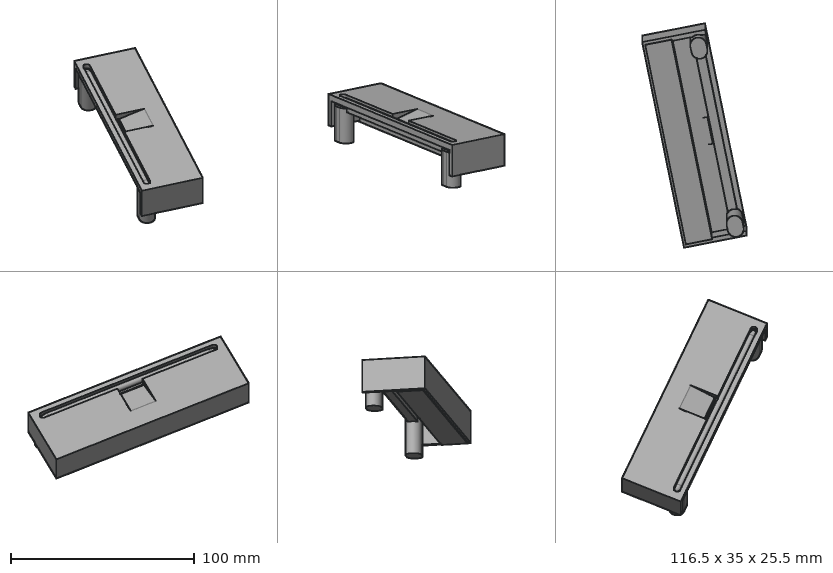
import cadquery as cq
import math

LENGTH = 116.5
DEPTH = 35.0
HOUSING_HEIGHT = 17.9
TOP_THICKNESS = 3.5
SIDE_WALL = 2.6
REAR_WALL = 1.4

RIB_FRONT = 2.9
RIB_REAR = 8.2
RIB_BOTTOM = -7.7

HANDLE_Y = 5.0
LEG_CENTRE_X = 7.8
LEG_LENGTH = 11.9
LEG_WIDTH = 8.7
LEG_TOP = -5.6
LEG_BOTTOM = -25.5
BAR_RADIUS = 1.9
BEND_RADIUS = 2.8
BAR_END_X = 6.5
BAR_Z = LEG_TOP + BEND_RADIUS

RECESS_WIDTH = 15.1
RECESS_REAR = 23.3
RECESS_BREAKTHROUGH_Y = 8.7

BLOCK_LENGTH = 113.0
BLOCK_DEPTH = 14.6
BLOCK_BOTTOM = -18.6


def box_between(x0, x1, y0, y1, z0, z1):
    return cq.Workplane("XY").box(x1 - x0, y1 - y0, z1 - z0, centered=False).translate((x0, y0, z0))


def make_leg(centre_x):
    return (
        cq.Workplane("XY", origin=(centre_x, HANDLE_Y, LEG_BOTTOM))
        .slot2D(LEG_LENGTH, LEG_WIDTH)
        .extrude(LEG_TOP - LEG_BOTTOM)
    )


def make_bar():
    left = BAR_END_X
    right = LENGTH - BAR_END_X
    bend_offset = BEND_RADIUS * math.sqrt(0.5)
    arc_z = LEG_TOP + bend_offset
    path = (
        cq.Workplane("XZ", origin=(0, HANDLE_Y, 0))
        .moveTo(left, LEG_TOP)
        .threePointArc((left + BEND_RADIUS - bend_offset, arc_z), (left + BEND_RADIUS, BAR_Z))
        .lineTo(right - BEND_RADIUS, BAR_Z)
        .threePointArc((right - BEND_RADIUS + bend_offset, arc_z), (right, LEG_TOP))
    )
    return cq.Workplane("XY", origin=(left, HANDLE_Y, LEG_TOP)).circle(BAR_RADIUS).sweep(path)


def make_handle():
    handle = make_bar()
    for centre_x in (LEG_CENTRE_X, LENGTH - LEG_CENTRE_X):
        handle = handle.union(make_leg(centre_x))
    return handle


def make_block():
    end_gap = (LENGTH - BLOCK_LENGTH) / 2
    rear = DEPTH - REAR_WALL
    return box_between(end_gap, LENGTH - end_gap, rear - BLOCK_DEPTH, rear, BLOCK_BOTTOM, -TOP_THICKNESS)


def make_handle_slot():
    """Round-ended slot from the top face down to the axis of the bar."""
    slot_length = LENGTH - 2 * (BAR_END_X - BAR_RADIUS)
    return (
        cq.Workplane("XY", origin=(LENGTH / 2, HANDLE_Y, BAR_Z))
        .slot2D(slot_length, 2 * BAR_RADIUS)
        .extrude(-BAR_Z)
    )


def make_finger_recess():
    """Wedge that starts at the top face and deepens towards the bar."""
    slope = TOP_THICKNESS / (RECESS_REAR - RECESS_BREAKTHROUGH_Y)
    front_z = -slope * (RECESS_REAR - HANDLE_Y)
    return (
        cq.Workplane("YZ", origin=((LENGTH - RECESS_WIDTH) / 2, 0, 0))
        .polyline([(RECESS_REAR, 0), (HANDLE_Y, front_z), (HANDLE_Y, 0)])
        .close()
        .extrude(RECESS_WIDTH)
    )


def make_housing(handle, block):
    shell = box_between(0, LENGTH, 0, DEPTH, -HOUSING_HEIGHT, 0)
    inner_end = LENGTH - SIDE_WALL
    cavity = box_between(SIDE_WALL, inner_end, 0, DEPTH - REAR_WALL, -HOUSING_HEIGHT, -TOP_THICKNESS)
    rib = box_between(SIDE_WALL, inner_end, RIB_FRONT, RIB_REAR, RIB_BOTTOM, -TOP_THICKNESS)
    housing = shell.cut(cavity).union(rib)
    housing = housing.cut(make_handle_slot()).cut(make_finger_recess())
    return housing.cut(handle).cut(block)


handle = make_handle()
block = make_block()
housing = make_housing(handle, block)

result = cq.Compound.makeCompound([housing.solids().val(), handle.solids().val(), block.val()])